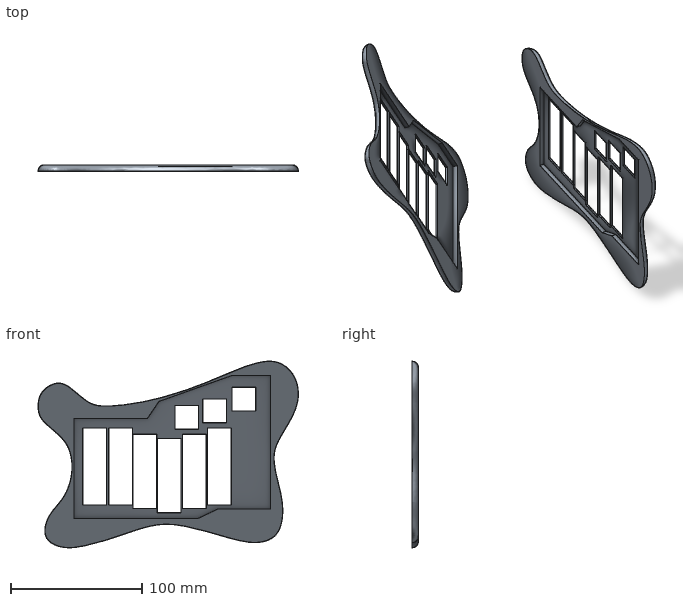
import cadquery as cq

thickness = 5.0
back_round = 4.8
pocket_floor = 1.49
pocket_depth = thickness - pocket_floor

outline_points = [
    (0, 107.0), (9.3, 124.0), (14, 125.5),
    (41.1, 109.8), (53.8, 108.2), (77.0, 110.8), (107.5, 118.5), (140.6, 131.3),
    (166.8, 141), (182.3, 141.6), (194.3, 132.5), (198.5, 114.5),
    (188.3, 90.2), (180.5, 73.7), (182.7, 51.6),
    (186.7, 28.2), (180.1, 8.7), (171.2, 4.5),
    (150.0, 6.4), (114.6, 15.9), (95.5, 17.9), (66.7, 10.7),
    (35.0, 1.4), (15.5, 1.2), (6.5, 7.3), (8.5, 24.5),
    (17.9, 36.5), (25.8, 62.2), (20.3, 81.0), (2.2, 99.1),
]

outline_pieces = 8

pocket_left = 27.2
pocket_right = 177.4
pocket_bottom = 22.5
pocket_bottom_right = 29.5
pocket_top_left = 98.7
pocket_top = 131.5
bottom_step_start = 122.2
bottom_step_end = 137
top_step_start = 83.5
top_slope_start = (92.2, 111.6)
top_slope_end = 148.0
pocket_points = [
    (pocket_left, pocket_bottom),
    (bottom_step_start, pocket_bottom),
    (bottom_step_end, pocket_bottom_right),
    (pocket_right, pocket_bottom_right),
    (pocket_right, pocket_top),
    (top_slope_end, pocket_top),
    top_slope_start,
    (top_step_start, pocket_top_left),
    (pocket_left, pocket_top_left),
]

window_width = 17.9
outer_slot_height = 58.5
inner_slot_height = 56.5
slots = [
    (34.2, 32.8, outer_slot_height),
    (54.0, 32.8, outer_slot_height),
    (72.5, 30.2, inner_slot_height),
    (91.0, 26.8, inner_slot_height),
    (110.2, 30.2, inner_slot_height),
    (129.3, 32.8, outer_slot_height),
]
squares = [(104.5, 90.5), (125.7, 95.5), (148.0, 104.5)]


def front_plane():
    """Sketch plane on the front face; a positive extrusion runs towards -Y."""
    return cq.Workplane("XZ")


def outline_wire():
    """Closed smooth curve on the front face, made of several tangent pieces."""
    curve = cq.Edge.makeSpline([cq.Vector(x, 0, z) for x, z in outline_points], periodic=True)
    start, end = curve.bounds()
    step = (end - start) / outline_pieces
    pieces = [curve.trim(start + i * step, start + (i + 1) * step) for i in range(outline_pieces)]
    return cq.Wire.assembleEdges(pieces)


def rounded_plate():
    blank = cq.Solid.extrudeLinear(outline_wire(), [], cq.Vector(0, thickness, 0))
    return cq.Workplane(obj=blank).faces(">Y").edges().fillet(back_round)


def pocket():
    return front_plane().polyline(pocket_points).close().extrude(-pocket_depth)


def window(left, bottom, height):
    corner = front_plane().moveTo(left, bottom)
    return corner.rect(window_width, height, centered=False).extrude(-thickness)


result = rounded_plate().cut(pocket())
for left, bottom, height in slots:
    result = result.cut(window(left, bottom, height))
for left, bottom in squares:
    result = result.cut(window(left, bottom, window_width))